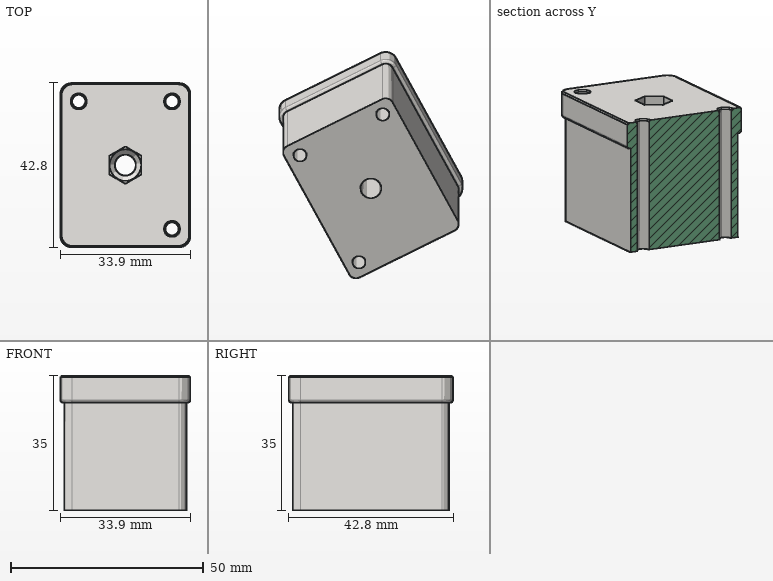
import cadquery as cq
import math

LID_WIDTH = 33.9
LID_LENGTH = 42.8
TOTAL_HEIGHT = 35.0
LID_HEIGHT = 7.0
LID_CORNER_RADIUS = 3.0
LID_TOP_CHAMFER = 0.4
OVERHANG = 1.0
LID_BOTTOM_FILLET = 0.8

BODY_WIDTH = LID_WIDTH - 2 * OVERHANG
BODY_LENGTH = LID_LENGTH - 2 * OVERHANG
BODY_CORNER_RADIUS = LID_CORNER_RADIUS - OVERHANG
LID_BOTTOM_Z = TOTAL_HEIGHT - LID_HEIGHT

SCREW_HOLE_DIAMETER = 3.4
SCREW_HOLE_CHAMFER = 0.4
SCREW_HOLE_INSET = 4.8
SCREW_X = LID_WIDTH / 2 - SCREW_HOLE_INSET
SCREW_Y = LID_LENGTH / 2 - SCREW_HOLE_INSET

BOLT_HOLE_DIAMETER = 5.4
HEX_SIDES = 6
HEX_ACROSS_FLATS = 8.4
HEX_DEPTH = 4.0
SEAT_DIAMETER = 8.2
SEAT_DEPTH = (SEAT_DIAMETER - BOLT_HOLE_DIAMETER) / 2
HEX_FLOOR_Z = TOTAL_HEIGHT - HEX_DEPTH


def rounded_block(width, length, bottom_z, height, corner_radius):
    """Upright block centred on the Z axis, with rounded vertical edges."""
    block = cq.Workplane("XY").workplane(offset=bottom_z).rect(width, length).extrude(height)
    return block.edges("|Z").fillet(corner_radius)


def cone_cut(x, y, top_z, top_diameter, bottom_diameter, depth):
    """Downward-narrowing cone whose wide end lies at top_z."""
    return cq.Workplane(
        cq.Solid.makeCone(
            top_diameter / 2,
            bottom_diameter / 2,
            depth,
            pnt=cq.Vector(x, y, top_z),
            dir=cq.Vector(0, 0, -1),
        )
    )


def through_hole(x, y, diameter):
    """Vertical cylinder through the full height of the part."""
    return cq.Workplane("XY").center(x, y).circle(diameter / 2).extrude(TOTAL_HEIGHT)


def make_lid():
    """Lid with a chamfered top rim and a rounded lower rim."""
    lid = rounded_block(LID_WIDTH, LID_LENGTH, LID_BOTTOM_Z, LID_HEIGHT, LID_CORNER_RADIUS)
    lid = lid.faces(">Z").edges().chamfer(LID_TOP_CHAMFER)
    return lid.faces("<Z").edges().fillet(LID_BOTTOM_FILLET)


def cut_screw_holes(part):
    """Three chamfered through holes; the (-X, -Y) corner has none."""
    rim_diameter = SCREW_HOLE_DIAMETER + 2 * SCREW_HOLE_CHAMFER
    for side_x, side_y in ((-1, 1), (1, 1), (1, -1)):
        x = side_x * SCREW_X
        y = side_y * SCREW_Y
        part = part.cut(through_hole(x, y, SCREW_HOLE_DIAMETER))
        part = part.cut(
            cone_cut(x, y, TOTAL_HEIGHT, rim_diameter, SCREW_HOLE_DIAMETER, SCREW_HOLE_CHAMFER)
        )
    return part


def cut_bolt_hole(part):
    """Hexagonal pocket with corners on the Y axis, conical seat and through hole."""
    across_corners = HEX_ACROSS_FLATS / math.cos(math.pi / HEX_SIDES)
    hexagon = (
        cq.Workplane("XY")
        .workplane(offset=HEX_FLOOR_Z)
        .polygon(HEX_SIDES, across_corners)
        .extrude(HEX_DEPTH)
        .rotate((0, 0, 0), (0, 0, 1), 90)
    )
    seat = cone_cut(0, 0, HEX_FLOOR_Z, SEAT_DIAMETER, BOLT_HOLE_DIAMETER, SEAT_DEPTH)
    return part.cut(hexagon).cut(seat).cut(through_hole(0, 0, BOLT_HOLE_DIAMETER))


body = rounded_block(BODY_WIDTH, BODY_LENGTH, 0, TOTAL_HEIGHT - LID_TOP_CHAMFER, BODY_CORNER_RADIUS)
result = cut_bolt_hole(cut_screw_holes(body.union(make_lid())))